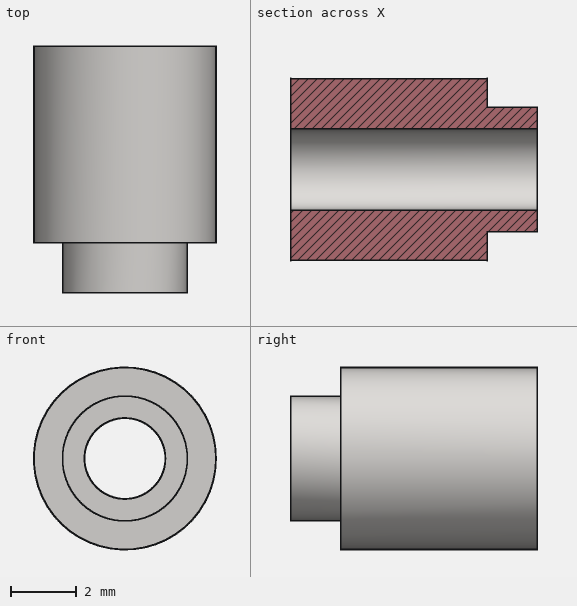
import cadquery as cq

body_diameter = 5.56
spigot_diameter = 3.81
bore_diameter = 2.46
total_length = 7.52
spigot_length = 1.52
body_length = total_length - spigot_length


def cylinder_along_y(diameter, start_y, length):
    """Solid cylinder on the Y axis, running from start_y toward +Y."""
    return (
        cq.Workplane("XZ")
        .workplane(offset=-start_y)
        .circle(diameter / 2)
        .extrude(-length)
    )


body = cylinder_along_y(body_diameter, 0, body_length)
spigot = cylinder_along_y(spigot_diameter, -spigot_length, spigot_length)
bore = cylinder_along_y(bore_diameter, -spigot_length, total_length)

result = body.union(spigot).cut(bore)